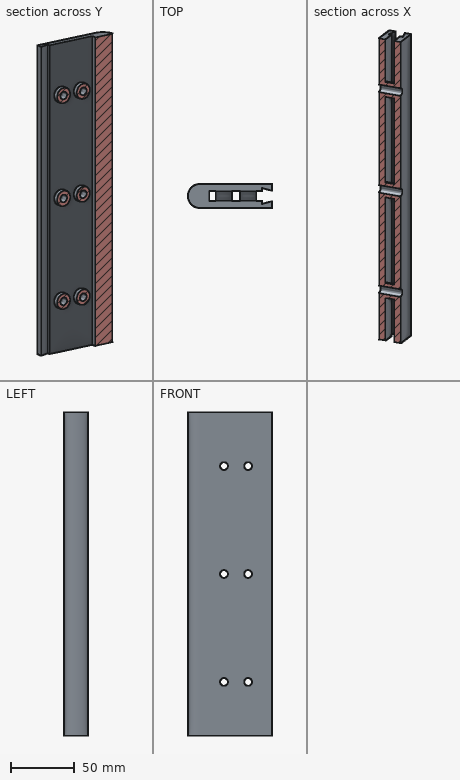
import cadquery as cq
import math

WIDTH = 66.5
THICKNESS = 19.1
HEIGHT = 255.0

SLOT_START = 17.0
SLOT_WIDTH = 7.5

MOUTH_DEPTH = 8.0
MOUTH_OUTER_WIDTH = 8.0
DOVETAIL_ANGLE = 15.0

POST_DIAMETER = 13.0
HOLE_DIAMETER = 6.0
POST_SPACING = 19.0
POST_COLUMNS = 2
POST_ROWS = 3

NOSE_RADIUS = THICKNESS / 2
NOSE_TIP = -WIDTH / 2
OPEN_EDGE = WIDTH / 2
SLOT_BACK = NOSE_TIP + SLOT_START
MOUTH_SHOULDER = OPEN_EDGE - MOUTH_DEPTH
MOUTH_INNER_WIDTH = MOUTH_OUTER_WIDTH + 2 * MOUTH_DEPTH * math.tan(math.radians(DOVETAIL_ANGLE))
ROW_PITCH = HEIGHT / POST_ROWS


def post_centers():
    """(x, z) centres; columns are counted inward from the open edge, rows from mid height."""
    centers = []
    for column in range(1, POST_COLUMNS + 1):
        for row in range(POST_ROWS):
            x = OPEN_EDGE - column * POST_SPACING
            z = (row - (POST_ROWS - 1) / 2) * ROW_PITCH
            centers.append((x, z))
    return centers


def extrude_full_height(profile):
    return profile.extrude(HEIGHT / 2, both=True)


def make_body():
    """Solid bar with a half-round nose."""
    nose_center = NOSE_TIP + NOSE_RADIUS
    profile = (
        cq.Workplane("XY")
        .moveTo(OPEN_EDGE, -NOSE_RADIUS)
        .lineTo(OPEN_EDGE, NOSE_RADIUS)
        .lineTo(nose_center, NOSE_RADIUS)
        .threePointArc((NOSE_TIP, 0), (nose_center, -NOSE_RADIUS))
        .close()
    )
    return extrude_full_height(profile)


def make_channel():
    """Straight slot that widens into the dovetail mouth."""
    slot_half = SLOT_WIDTH / 2
    inner_half = MOUTH_INNER_WIDTH / 2
    outer_half = MOUTH_OUTER_WIDTH / 2
    profile = cq.Workplane("XY").polyline([
        (SLOT_BACK, -slot_half),
        (MOUTH_SHOULDER, -slot_half),
        (MOUTH_SHOULDER, -inner_half),
        (OPEN_EDGE, -outer_half),
        (OPEN_EDGE, outer_half),
        (MOUTH_SHOULDER, inner_half),
        (MOUTH_SHOULDER, slot_half),
        (SLOT_BACK, slot_half),
    ]).close()
    return extrude_full_height(profile)


def make_cylinders(diameter, length):
    """Cylinders along Y at every post centre, centred on the mid plane."""
    return cq.Workplane("XZ").pushPoints(post_centers()).circle(diameter / 2).extrude(length / 2, both=True)


posts = make_cylinders(POST_DIAMETER, SLOT_WIDTH)
holes = make_cylinders(HOLE_DIAMETER, THICKNESS)
result = make_body().cut(make_channel()).union(posts).cut(holes)